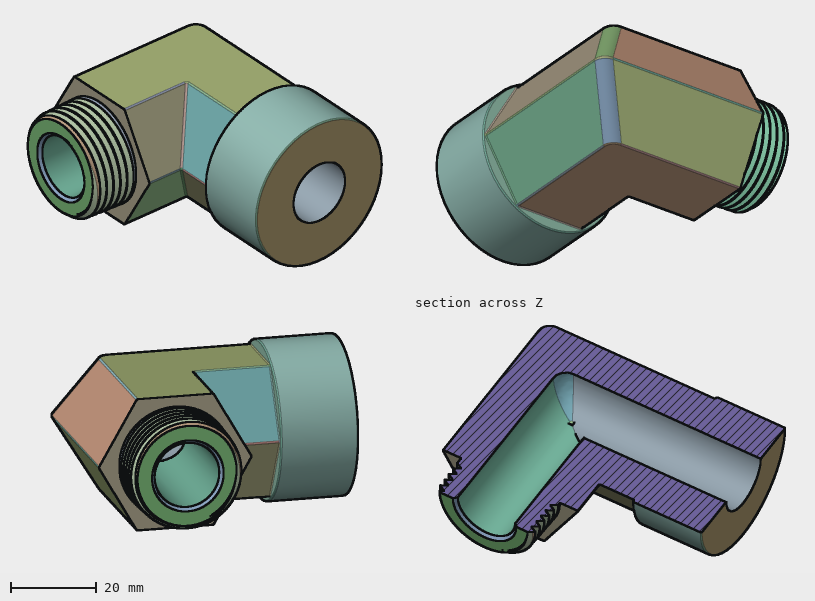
import cadquery as cq
import math


total_length = 64.8
total_width = 58.6

hex_flats = 31.9
hex_corner_radius = hex_flats / math.sqrt(3)
male_reach = 28.0
female_reach = 27.8
outer_bend_radius = 3.5
edge_radius = 0.5
rounded_corner_radius = hex_corner_radius - edge_radius * (2 / math.sqrt(3) - 1)

collar_diameter = 38.0
collar_radius = collar_diameter / 2
collar_end = total_length - rounded_corner_radius
collar_edge_radius = 0.3
collar_root_radius = 0.25

spigot_length = total_width - collar_radius - male_reach
spigot_radius = 13.5
taper_ratio = 1 / 32
blank_excess = 2.6
blank_length = spigot_length + blank_excess
tip_radius = 12.1
thread_pitch = 2.0
thread_depth = 1.55
flank_angle = math.radians(30)
thread_overcut = 0.1
thread_start = 1.05
thread_start_angle = -111

bore_radius = 7.8
bore_chamfer = 0.85
bore_bend_radius = 3.4
bore_corner_trim = 0.05


def hex_leg(plane_name, reach):
    """Hexagonal bar with flats facing up and down, starting behind the mitre."""
    start = cq.Workplane(plane_name).workplane(offset=-hex_corner_radius)
    return start.polygon(6, 2 * hex_corner_radius).extrude(hex_corner_radius + reach)


def mitre_half(side):
    """Wedge holding one side of the diagonal plane x + y = 0 (+1 for the +X side)."""
    reach = 4 * male_reach
    corners = [(-reach, reach), (reach, -reach), (side * reach, side * reach)]
    return cq.Workplane("XY").polyline(corners).close().extrude(reach, both=True)


def mitre_edges(side):
    """Selector for the pair of sloping mitre edges on the -X+Y side (-1) or the +X-Y side (+1)."""
    near = side * hex_corner_radius / 2
    far = side * hex_corner_radius
    return cq.selectors.BoxSelector((near, -near, -hex_flats / 2), (far, -far, hex_flats / 2))


def hex_body():
    """Mitred hexagonal elbow with its outer bend, inner bend and long edges rounded."""
    female_leg = hex_leg("YZ", female_reach).intersect(mitre_half(1))
    male_leg = hex_leg("XZ", male_reach).intersect(mitre_half(-1))
    elbow = female_leg.union(male_leg).clean()
    elbow = elbow.edges(mitre_edges(-1)).fillet(outer_bend_radius)
    elbow = elbow.edges(mitre_edges(1)).fillet(edge_radius)
    return elbow.edges("(|X or |Y) exc (<Y or >X)").fillet(edge_radius)


def add_collar(elbow):
    """Round collar on the female leg, blended into the hexagon at its root."""
    collar = cq.Workplane("YZ", origin=(female_reach, 0, 0)).circle(collar_radius)
    collar = collar.extrude(collar_end - female_reach).edges().fillet(collar_edge_radius)
    joined = elbow.union(collar)
    margin = 0.05
    half_box = hex_corner_radius + margin
    root_edges = cq.selectors.BoxSelector(
        (female_reach - margin, -half_box, -half_box),
        (female_reach + margin, half_box, half_box),
        boundingbox=True,
    )
    return joined.edges(root_edges).fillet(collar_root_radius)


def thread_groove():
    """V groove wound along a tapered helix about +Z, running out past the spigot tip."""
    root = spigot_radius - thread_depth
    crest = spigot_radius + thread_overcut
    half_width = (crest - root) * math.tan(flank_angle)
    height = spigot_length + thread_pitch
    taper_angle = math.degrees(math.atan(taper_ratio))
    helix = cq.Wire.makeHelix(thread_pitch, height, root, angle=-taper_angle)
    profile = cq.Workplane("XZ").polyline([(root, 0), (crest, half_width), (crest, -half_width)]).close()
    groove = profile.sweep(cq.Workplane(obj=helix), isFrenet=True)
    return groove.rotate((0, 0, 0), (0, 0, 1), thread_start_angle).translate((0, 0, thread_start))


def spigot():
    """Tapered, chamfered and threaded male end along -Y.

    The tapered blank is made over-long so that the groove ends inside it, then the tip is cut off.
    """
    blank_end_radius = spigot_radius - blank_length * taper_ratio
    blank = cq.Workplane("XY").circle(spigot_radius).workplane(offset=blank_length)
    blank = blank.circle(blank_end_radius).loft()
    threaded = blank.cut(thread_groove()).rotate((0, 0, 0), (1, 0, 0), 90)
    return threaded.cut(tip_waste()).translate((0, -male_reach, 0))


def tip_waste():
    """Everything beyond the spigot tip and outside its 45 degree chamfer."""
    waste_radius = spigot_radius + blank_excess
    chamfer_height = waste_radius - tip_radius
    outline = [
        (0, -spigot_length),
        (tip_radius, -spigot_length),
        (waste_radius, chamfer_height - spigot_length),
        (waste_radius, -2 * blank_length),
        (0, -2 * blank_length),
    ]
    return cq.Workplane("XY").polyline(outline).close().revolve(360, (0, 0), (0, 1))


def passage():
    """Bent bore through both ends, rounded at the outer mitre and chamfered at the male mouth."""
    tip = male_reach + spigot_length
    female_bore = cq.Workplane("YZ").circle(bore_radius).extrude(collar_end)
    male_bore = cq.Workplane("XZ").circle(bore_radius).extrude(tip)
    mouth = cq.Workplane("XZ", origin=(0, -tip, 0)).circle(bore_radius + bore_chamfer)
    mouth = mouth.workplane(offset=-bore_chamfer).circle(bore_radius).loft()
    return female_bore.union(male_bore).union(bore_corner()).union(mouth)


def bore_corner():
    """Rounded outer corner where the two bores cross, in the quadrant -X, +Y.

    The corner is trimmed just short of full bore height so that the mitre edge ends on flats.
    """
    along_x = cq.Workplane("YZ").circle(bore_radius).extrude(-bore_radius)
    along_y = cq.Workplane("XZ").circle(bore_radius).extrude(-bore_radius)
    half_height = bore_radius - bore_corner_trim
    quadrant = cq.Workplane("XY").rect(-bore_radius, bore_radius, centered=False)
    quadrant = quadrant.extrude(half_height, both=True)
    corner = along_x.intersect(along_y).intersect(quadrant)
    mitre_curve = cq.selectors.BoxSelector(
        (-bore_radius, bore_radius, -bore_radius), (-bore_radius / 2, bore_radius / 2, bore_radius)
    )
    return corner.edges(mitre_curve).fillet(bore_bend_radius)


result = add_collar(hex_body()).union(spigot()).cut(passage())